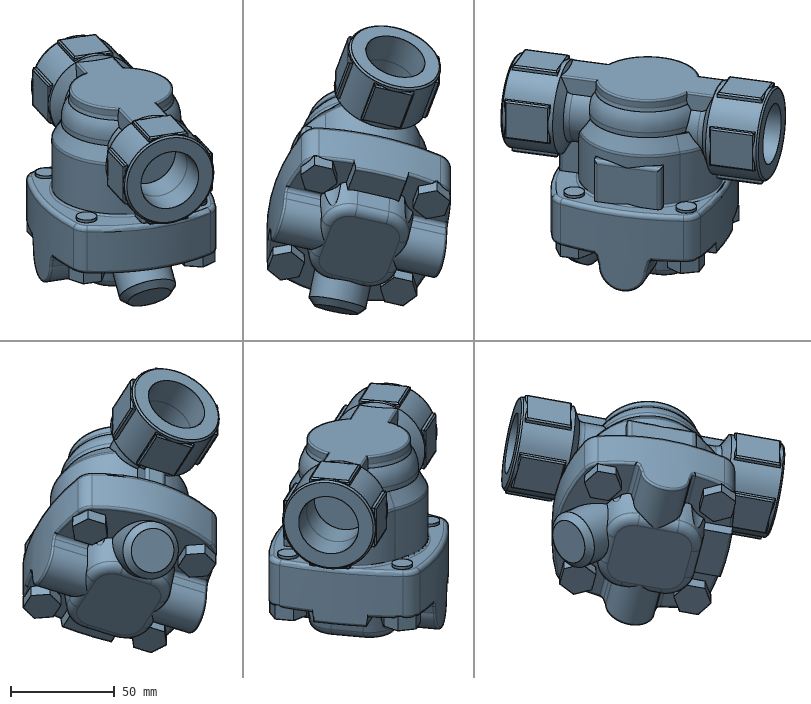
import cadquery as cq
import math


run_length = 130.0
run_center_x = 2.2
collar_radius = 46.0 / 2
collar_length = 26.4
collar_edge_chamfer = 0.9
cone_length = 3.5
cone_small_radius = 16.9
neck_radius = 16.1
neck_fillet_length = 2.7
pad_length = 22.8
pad_width = 20.0
pad_end_gap = 2.0
pad_edge_chamfer = 0.8
bore_mouth_radius = 14.8
bore_radius = 14.5
thread_depth = 15.2
bore_depth = 31.2

body_top = 20.9
body_radius = 33.4
waist_radius = 28.9
cap_radius = 25.0
cap_bottom = 16.9
dome_top = 15.0
dome_top_radius = 25.5
dome_bottom = 5.5
shoulder_top = 2.9
shoulder_bottom = -5.0
shoulder_edge_fillet = 2.6
base_fillet = 1.0
cap_edge_fillet = 0.9
rib_base_width = 22.9
rib_draft = 4.5
rib_overlap = 2.6
lobe_offset = 8.5
lobe_reach = 36.5
block_width = 10.4
block_reach = 43.3
block_fillet = 1.5
plate_width = 34.0
plate_top = -10.0
plate_fillet = 2.0

flange_top = -32.0
flange_bottom = -56.3
flange_side_radius = 112.6
flange_half_width = 41.5
flange_inlet_radius = 149.5
flange_inlet_reach = 39.4
flange_outlet_radius = 74.6
flange_outlet_reach = 45.4
flange_corner_radius = 9.1
flange_top_fillet = 2.3
flange_bottom_fillet = 1.3

cover_bottom = -74.1
bowl_inlet_reach = 26.4
bowl_outlet_reach = 24.5
bowl_half_width = 23.5
bowl_corner_radius = 15.6
bowl_draft = 8.0
bowl_bottom_fillet = 4.7
side_fin_width = 26.0
side_fin_radius = 12.0
end_fin_width = 27.3
end_fin_bottom = -61.2
end_fin_draft = 10.0
fin_edge_fillet = 1.0
fin_overlap = 2.6
fin_root_fillet = 2.0

bolt_pitch = 56.5
bolt_diameter = 10.0
bolt_top = -30.5
head_flats = 15.9
head_bottom = -62.4
spotface_radius = 13.0

drain_diameter = 28.0
drain_tilt = 45.0
drain_end_x = 39.0
drain_end_z = -73.2
drain_length = 41.6
drain_chamfer = 3.2


def flange_outline(bottom, top):
    """Four-arc plate outline as a solid between two heights, with rounded corners."""
    side_shift = flange_side_radius - flange_half_width
    arcs = [
        (0, -side_shift, flange_side_radius),
        (0, side_shift, flange_side_radius),
        (flange_inlet_radius - flange_inlet_reach, 0, flange_inlet_radius),
        (flange_outlet_reach - flange_outlet_radius, 0, flange_outlet_radius),
    ]
    plate = None
    for x, y, radius in arcs:
        disc = cq.Workplane("XY", origin=(x, y, bottom)).circle(radius).extrude(top - bottom)
        plate = disc if plate is None else plate.intersect(disc)
    return plate.edges("|Z").fillet(flange_corner_radius)


def turned_trunk(radius, axis_x):
    """Vertical cylinder with a base fillet, topped by the conical shoulder."""
    top_radius = radius - (body_radius - waist_radius)
    arc_center_z = flange_top + base_fillet
    arc_inset = base_fillet * (1 - math.sqrt(0.5))
    return (
        cq.Workplane("XZ", origin=(axis_x, 0, 0))
        .moveTo(0, flange_top)
        .lineTo(radius + base_fillet, flange_top)
        .threePointArc((radius + arc_inset, flange_top + arc_inset), (radius, arc_center_z))
        .lineTo(radius, shoulder_bottom)
        .lineTo(top_radius, shoulder_top)
        .lineTo(0, shoulder_top)
        .close()
        .revolve(360, (0, 0), (0, 1))
        .faces("%CONE").edges("%CIRCLE and <Z")
        .fillet(shoulder_edge_fillet)
    )


def make_dome():
    """Bulged dome above the shoulder, ending in a flat cap."""
    return (
        cq.Workplane("XZ")
        .moveTo(0, 0)
        .lineTo(waist_radius, 0)
        .lineTo(waist_radius, dome_bottom)
        .tangentArcPoint((dome_top_radius, dome_top), relative=False)
        .lineTo(cap_radius, cap_bottom)
        .lineTo(cap_radius, body_top)
        .lineTo(0, body_top)
        .close()
        .revolve(360, (0, 0), (0, 1))
        .faces(">Z").edges().fillet(cap_edge_fillet)
    )


def make_body():
    """Main trunk and dome, with an offset lobe towards the inlet."""
    trunk = turned_trunk(body_radius, 0)
    lobe = turned_trunk(lobe_reach - lobe_offset, -lobe_offset)
    return trunk.union(make_dome()).union(lobe)


def make_outlet_block():
    """Block that carries the outlet collar down to the flange."""
    return (
        cq.Workplane("XY", origin=(block_reach / 2, 0, flange_top))
        .rect(block_reach, block_width)
        .extrude(-flange_top - neck_radius / 2)
        .edges("|Z and >X").fillet(block_fillet)
    )


def make_plate():
    """Flat name plate pad on the +Y side of the body."""
    return (
        cq.Workplane("XY", origin=(0, body_radius / 2, flange_top))
        .rect(plate_width, body_radius)
        .extrude(plate_top - flange_top)
        .faces(">Y").edges("|Z or >Z").fillet(plate_fillet)
    )


def make_rib():
    """Flat-topped rib between the two collars."""
    length = run_length - 2 * collar_length + 2 * rib_overlap
    return (
        cq.Workplane("XY", origin=(run_center_x, 0, 0))
        .rect(length, rib_base_width)
        .extrude(body_top, taper=rib_draft)
        .edges("|X and >Z").fillet(cap_edge_fillet)
    )


def make_half_run(direction):
    """One pipe end: collar, back cone, neck and four spanner pads."""
    half = run_length / 2
    collar_inner = half - collar_length
    cone_inner = collar_inner - cone_length
    half_run = (
        cq.Workplane("XY")
        .moveTo(0, 0)
        .lineTo(0, neck_radius)
        .lineTo(cone_inner - neck_fillet_length, neck_radius)
        .tangentArcPoint((cone_inner, cone_small_radius), relative=False)
        .lineTo(collar_inner, collar_radius)
        .lineTo(half - collar_edge_chamfer, collar_radius)
        .lineTo(half, collar_radius - collar_edge_chamfer)
        .lineTo(half, 0)
        .close()
        .revolve(360, (0, 0), (1, 0))
    )
    pad_center = half - pad_end_gap - pad_length / 2
    pad = (
        cq.Workplane("XY", origin=(pad_center, 0, collar_radius / 2))
        .box(pad_length, pad_width, collar_radius)
        .faces(">Z").edges().chamfer(pad_edge_chamfer)
    )
    for quarter in range(4):
        half_run = half_run.union(pad.rotate((0, 0, 0), (1, 0, 0), 90 * quarter))
    return place_run(half_run, direction)


def make_bore(direction):
    """Blind port: tapered thread mouth, then a straight bore."""
    half = run_length / 2
    bore = (
        cq.Workplane("XY")
        .moveTo(half, 0)
        .lineTo(half, bore_mouth_radius)
        .lineTo(half - thread_depth, bore_radius)
        .lineTo(half - bore_depth, bore_radius)
        .lineTo(half - bore_depth, 0)
        .close()
        .revolve(360, (0, 0), (1, 0))
    )
    return place_run(bore, direction)


def place_run(shape, direction):
    """Turn a +X pipe end to face `direction` (+1 or -1) and move it to the run centre."""
    if direction < 0:
        shape = shape.rotate((0, 0, 0), (0, 0, 1), 180)
    return shape.translate((run_center_x, 0, 0))


def make_flange():
    flange = flange_outline(flange_bottom, flange_top)
    flange = flange.faces(">Z").edges().fillet(flange_top_fillet)
    return flange.faces("<Z").edges().fillet(flange_bottom_fillet)


def make_bowl():
    """Rounded-square cover bowl, tapering downwards, relieved around the bolt heads."""
    bowl = (
        cq.Workplane("XY", origin=((bowl_outlet_reach - bowl_inlet_reach) / 2, 0, flange_bottom))
        .sketch()
        .rect(bowl_inlet_reach + bowl_outlet_reach, 2 * bowl_half_width)
        .vertices().fillet(bowl_corner_radius)
        .finalize()
        .extrude(cover_bottom - flange_bottom, taper=bowl_draft)
        .faces("<Z").edges().fillet(bowl_bottom_fillet)
    )
    spotfaces = (
        cq.Workplane("XY", origin=(0, 0, flange_bottom))
        .rect(bolt_pitch, bolt_pitch, forConstruction=True)
        .vertices().circle(spotface_radius)
        .extrude(cover_bottom - flange_bottom)
    )
    return bowl.cut(spotfaces)


def make_side_fin():
    """Round-bottomed fin running the full width of the cover along Y."""
    arc_center = cover_bottom + side_fin_radius
    inner_top = flange_bottom + fin_overlap
    flare_bottom = flange_bottom - fin_root_fillet
    half_root = side_fin_width / 2
    flare = half_root + fin_root_fillet
    flare_inset = fin_root_fillet * (1 - math.sqrt(0.5))
    flare_z = flange_bottom - flare_inset
    reach = 2 * flange_half_width
    fin = (
        cq.Workplane("XZ", origin=(0, reach / 2, 0))
        .moveTo(-flare, inner_top)
        .lineTo(-flare, flange_bottom)
        .threePointArc((-half_root - flare_inset, flare_z), (-half_root, flare_bottom))
        .lineTo(-side_fin_radius, arc_center)
        .threePointArc((0, cover_bottom), (side_fin_radius, arc_center))
        .lineTo(half_root, flare_bottom)
        .threePointArc((half_root + flare_inset, flare_z), (flare, flange_bottom))
        .lineTo(flare, inner_top)
        .close()
        .extrude(reach)
    )
    fin = fin.intersect(flange_outline(cover_bottom, flange_top))
    return fin.faces("<Y or >Y").edges("not >Z").fillet(fin_edge_fillet)


def make_end_fin():
    """Shallow flat-bottomed fin reaching the inlet end of the cover."""
    inner_top = flange_bottom + fin_overlap
    half_root = end_fin_width / 2
    half_tip = half_root - (flange_bottom - end_fin_bottom) * math.tan(math.radians(end_fin_draft))
    fin = (
        cq.Workplane("YZ")
        .moveTo(-half_root, inner_top)
        .lineTo(-half_root, flange_bottom)
        .lineTo(-half_tip, end_fin_bottom)
        .lineTo(half_tip, end_fin_bottom)
        .lineTo(half_root, flange_bottom)
        .lineTo(half_root, inner_top)
        .close()
        .extrude(-flange_outlet_reach)
    )
    fin = fin.intersect(flange_outline(cover_bottom, flange_top))
    return fin.faces("<X").edges("<Z").fillet(fin_edge_fillet)


def make_bolt(index):
    """Bolt with a hexagon head below and a plain end just proud of the flange top."""
    head_corners = head_flats / math.cos(math.radians(30))
    center = bolt_pitch / 2
    head = cq.Workplane("XY", origin=(center, center, head_bottom)).polygon(6, head_corners)
    bolt = head.extrude(flange_bottom + flange_bottom_fillet - head_bottom)
    shank = cq.Workplane("XY", origin=(center, center, flange_bottom)).circle(bolt_diameter / 2)
    bolt = bolt.union(shank.extrude(bolt_top - flange_bottom))
    return bolt.rotate((0, 0, 0), (0, 0, 1), 90 * index)


def make_drain():
    """Tilted drain boss with a chamfered end."""
    boss = (
        cq.Workplane("XY")
        .circle(drain_diameter / 2)
        .extrude(drain_length)
        .faces("<Z").chamfer(drain_chamfer)
        .rotate((0, 0, 0), (0, 1, 0), -drain_tilt)
        .translate((drain_end_x, 0, drain_end_z))
    )
    plate_middle = (flange_top + flange_bottom) / 2
    limit = cq.Workplane("XY", origin=(0, 0, plate_middle)).rect(run_length, run_length)
    return boss.cut(limit.extrude(run_length))


result = make_body()
for feature in [make_outlet_block(), make_plate(), make_rib(), make_flange(), make_bowl(),
                make_side_fin(), make_end_fin(), make_drain()]:
    result = result.union(feature)
for direction in (1, -1):
    result = result.union(make_half_run(direction))
for index in range(4):
    result = result.union(make_bolt(index))
for direction in (1, -1):
    result = result.cut(make_bore(direction))